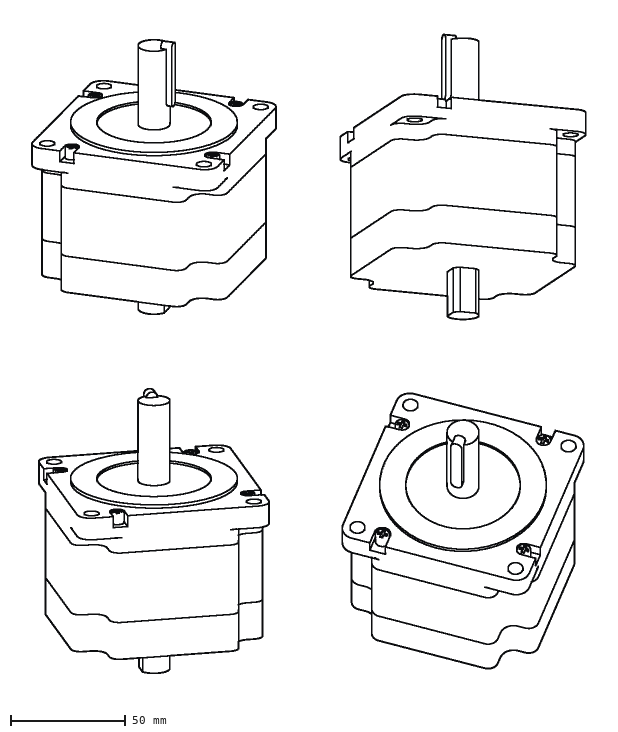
import cadquery as cq


overall_length = 126.1
body_width = 86.0
half_width = body_width / 2

rear_cover_height = 17.0
stator_height = 32.0
front_cover_height = 17.0
stator_base = rear_cover_height
front_cover_base = stator_base + stator_height
flange_top = front_cover_base + front_cover_height

notch_size = 14.0
notch_inner_radius = 6.0
notch_outer_radius = 4.5

flange_thickness = 10.0
flange_corner_radius = 6.0
mount_hole_diameter = 6.5
mount_hole_offset = 36.5
boss_diameter = 73.0
boss_height = 1.5
boss_top = flange_top + boss_height
recess_diameter = 50.0
recess_depth = 1.0

screw_radial_offset = 36.5
screw_side_offset = 25.0
slot_depth = 5.0
slot_width = 6.4
wide_slot_width = 7.2
slot_widths = {0: wide_slot_width, 90: slot_width, 180: slot_width, 270: slot_width}
screw_head_diameter = 6.0
screw_head_height = slot_depth
screw_head_fillet = 0.5
cross_width = 1.1
cross_length = 4.0
cross_depth = 1.0

shaft_diameter = 14.0
rear_shaft_length = 20.0
flat_depth = 1.0
key_width = 5.0
key_height = 5.0
key_length = 29.9
key_inner_x = 4.0
key_radius = key_width / 2
key_top = overall_length - rear_shaft_length
shaft_top = key_top - key_radius


def corner_notches(base, height):
    """Four corner cutters with rounded vertical edges."""
    return (
        cq.Workplane("XY").workplane(offset=base)
        .rect(body_width, body_width, forConstruction=True).vertices()
        .rect(2 * notch_size, 2 * notch_size).extrude(height)
        .edges("|Z").fillet(notch_inner_radius)
    )


def notched_section(base, height):
    """Square block with a rounded notch along each vertical corner."""
    block = cq.Workplane("XY").workplane(offset=base).rect(body_width, body_width).extrude(height)
    notched = block.cut(corner_notches(base, height))
    for side in ("<X", ">X", "<Y", ">Y"):
        notched = notched.faces(side).edges("|Z").fillet(notch_outer_radius)
    return notched


def mounting_flange():
    """Rounded square plate with four mounting holes."""
    hole_pitch = 2 * mount_hole_offset
    return (
        cq.Workplane("XY").workplane(offset=flange_top - flange_thickness)
        .rect(body_width, body_width).extrude(flange_thickness)
        .edges("|Z").fillet(flange_corner_radius)
        .faces(">Z").workplane(origin=(0, 0, flange_top))
        .rect(hole_pitch, hole_pitch, forConstruction=True).vertices()
        .hole(mount_hole_diameter)
    )


def pilot_boss():
    """Round disc on top of the flange."""
    return (
        cq.Workplane("XY").workplane(offset=flange_top)
        .circle(boss_diameter / 2).extrude(boss_height)
    )


def boss_recess():
    """Shallow round recess in the boss."""
    return (
        cq.Workplane("XY").workplane(offset=boss_top - recess_depth)
        .circle(recess_diameter / 2).extrude(recess_depth)
    )


def screw_slot(width):
    """Cutter for the slot that opens to the +X side."""
    slot_base = cq.Workplane("XY").workplane(offset=flange_top - slot_depth)
    end_plane = slot_base.center(screw_radial_offset, -screw_side_offset)
    round_end = end_plane.circle(width / 2).extrude(slot_depth)
    run_length = half_width - screw_radial_offset
    run_center = screw_radial_offset + run_length / 2
    run_plane = slot_base.center(run_center, -screw_side_offset)
    straight_run = run_plane.rect(run_length, width).extrude(slot_depth)
    return round_end.union(straight_run)


def screw_head():
    """Round screw head with a cross recess, standing on the floor of the +X slot."""
    head_base = flange_top - slot_depth
    head_top = head_base + screw_head_height
    head = (
        cq.Workplane("XY").workplane(offset=head_base)
        .center(screw_radial_offset, -screw_side_offset)
        .circle(screw_head_diameter / 2).extrude(screw_head_height)
        .faces(">Z").edges().fillet(screw_head_fillet)
    )
    cross_plane = (
        cq.Workplane("XY").workplane(offset=head_top - cross_depth)
        .center(screw_radial_offset, -screw_side_offset)
    )
    for arm_size in ((cross_length, cross_width), (cross_width, cross_length)):
        head = head.cut(cross_plane.rect(*arm_size).extrude(cross_depth))
    return head


def front_shaft():
    """Output end of the shaft, from the recess floor up."""
    shaft_base = boss_top - recess_depth
    return (
        cq.Workplane("XY").workplane(offset=shaft_base)
        .circle(shaft_diameter / 2).extrude(shaft_top - shaft_base)
    )


def shaft_key():
    """Key with round ends on the +X side; its upper round stands above the shaft end."""
    return (
        cq.Workplane("YZ", origin=(key_inner_x, 0, key_top - key_length / 2))
        .slot2D(key_length, key_width, 90).extrude(key_height)
    )


def build_front_cover():
    """Front cover with flange, boss, screws and the keyed output shaft."""
    cover = notched_section(front_cover_base, front_cover_height - flange_thickness)
    cover = cover.union(mounting_flange()).union(pilot_boss()).cut(boss_recess())
    for angle, width in slot_widths.items():
        cover = cover.cut(screw_slot(width).rotate((0, 0, 0), (0, 0, 1), angle))
        cover = cover.union(screw_head().rotate((0, 0, 0), (0, 0, 1), angle))
    return cover.union(front_shaft()).union(shaft_key())


def build_stator():
    """Plain notched middle section."""
    return notched_section(stator_base, stator_height)


def build_rear_cover():
    """Rear cover with the rear shaft end, which has flats on its +X and +Y sides."""
    shaft_radius = shaft_diameter / 2
    flat_size = shaft_diameter - flat_depth
    shaft = cq.Workplane("XY").circle(shaft_radius).extrude(-rear_shaft_length)
    flats_envelope = (
        cq.Workplane("XY").center(-flat_depth / 2, -flat_depth / 2)
        .rect(flat_size, flat_size).extrude(-rear_shaft_length)
    )
    return notched_section(0, rear_cover_height).union(shaft.intersect(flats_envelope))


front_cover = build_front_cover()
stator = build_stator()
rear_cover = build_rear_cover()

result = cq.Compound.makeCompound([front_cover.val(), stator.val(), rear_cover.val()])